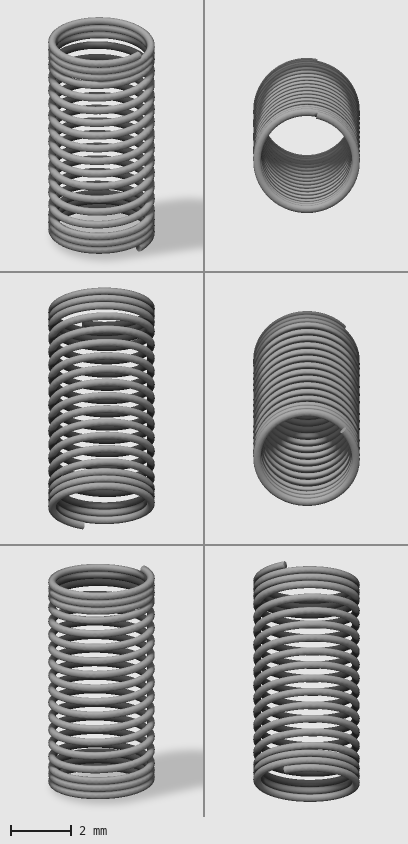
import cadquery as cq

outer_diameter = 3.5
wire_diameter = 0.25
overall_length = 7.41
end_turns = 3
active_turns = 12
end_gap = 0.002

coil_radius = (outer_diameter - wire_diameter) / 2
wire_rise = overall_length - wire_diameter
end_pitch = wire_diameter + end_gap
end_rise = end_turns * end_pitch
active_rise = wire_rise - 2 * end_rise
active_pitch = active_rise / active_turns


def coil(base_z, pitch, rise):
    """Stretch of constant-pitch coil, with its round section held in the XZ plane at both ends."""
    path = cq.Wire.makeHelix(pitch, rise, coil_radius).translate(cq.Vector(0, 0, base_z))
    section = cq.Workplane("XZ").center(coil_radius, base_z).circle(wire_diameter / 2)
    return section.sweep(cq.Workplane(path), isFrenet=True)


lower_z = wire_diameter / 2
active_z = lower_z + end_rise
upper_z = active_z + active_rise

lower_end = coil(lower_z, end_pitch, end_rise)
active_coil = coil(active_z, active_pitch, active_rise)
upper_end = coil(upper_z, end_pitch, end_rise)

result = lower_end.union(active_coil).union(upper_end).solids()